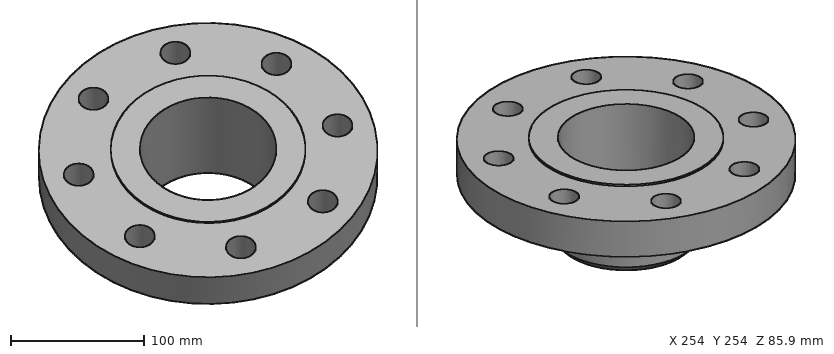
import cadquery as cq

flange_diameter = 254.0
total_height = 85.9

raised_face_diameter = 146.0
raised_face_height = 1.5
flange_thickness = 30.5

hub_diameter = 146.0
neck_diameter = 114.3
neck_height = 18.3
weld_bevel_height = 6.0
bore_diameter = 102.4

bolt_count = 8
bolt_circle_diameter = 200.2
bolt_hole_diameter = 22.4
first_bolt_angle = 180 / bolt_count

flange_top = total_height - raised_face_height
flange_bottom = flange_top - flange_thickness
neck_radius = neck_diameter / 2
bore_radius = bore_diameter / 2


def turned_body():
    """Bored flange, hub and neck about Z; the weld bevel meets the bore at Z = 0."""
    return (
        cq.Workplane("XZ")
        .moveTo(bore_radius, 0)
        .lineTo(neck_radius, weld_bevel_height)
        .lineTo(neck_radius, neck_height)
        .lineTo(hub_diameter / 2, flange_bottom)
        .lineTo(flange_diameter / 2, flange_bottom)
        .lineTo(flange_diameter / 2, flange_top)
        .lineTo(raised_face_diameter / 2, flange_top)
        .lineTo(raised_face_diameter / 2, total_height)
        .lineTo(bore_radius, total_height)
        .close()
        .revolve(360, (0, 0, 0), (0, 1, 0))
    )


def bolt_holes():
    """Through holes straddling the X and Y axes."""
    return (
        cq.Workplane("XY")
        .polarArray(bolt_circle_diameter / 2, first_bolt_angle, 360, bolt_count)
        .circle(bolt_hole_diameter / 2)
        .extrude(total_height)
    )


result = turned_body().cut(bolt_holes())